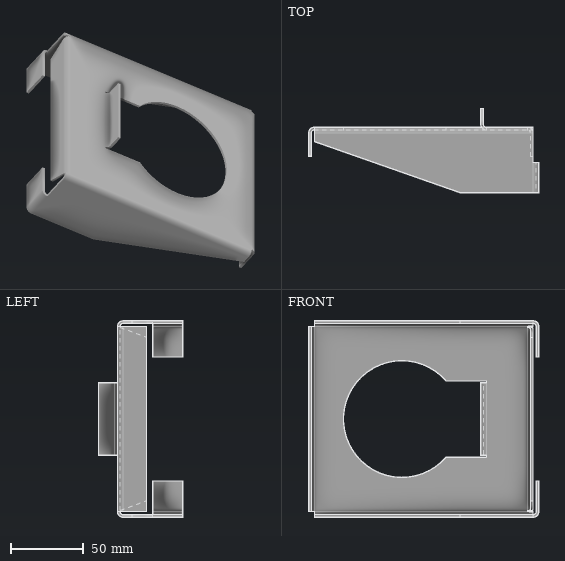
import cadquery as cq
import math

length = 158.0
height = 135.0
depth = 45.0

sheet = 1.9
inner_radius = 2.0
bend = inner_radius + sheet

flange_depth = 20.0
taper_inset = 7.5

wall_start_depth = 10.0
slope_end_x = 104.0
wall_tab_width = 20.9
wall_tab_height = 25.0

hole_x = 64.0
hole_radius = 40.0
slot_end_x = 122.0
slot_height = 52.1
back_tab_height = 50.0
back_tab_reach = 13.0

wall_end_x = length - bend
right_bend_x = wall_end_x - bend
plate_height = height - 2 * bend
middle_z = height / 2


def folded_strip(origin, outward, fold, reach, width):
    """Bend and leg of a fold, centred on origin.

    origin lies on the outer side of the parent sheet where the bend starts, outward
    leads away from the parent, and reach is measured from origin along fold.
    """
    axis = cq.Vector(*outward).cross(cq.Vector(*fold))
    diagonal = math.sqrt(0.5)
    outer_middle = (bend * diagonal, bend * (1 - diagonal))
    inner_middle = (inner_radius * diagonal, bend - inner_radius * diagonal)
    return (
        cq.Workplane(cq.Plane(origin, outward, axis))
        .threePointArc(outer_middle, (bend, bend))
        .lineTo(bend, reach)
        .lineTo(inner_radius, reach)
        .lineTo(inner_radius, bend)
        .threePointArc(inner_middle, (0, sheet))
        .close()
        .extrude(width / 2, both=True)
    )


def back_plate():
    plate = cq.Workplane("XY").box(
        right_bend_x - bend, sheet, plate_height, centered=False
    ).translate((bend, -sheet, bend))
    opening = (
        cq.Workplane("XZ")
        .center(hole_x, middle_z)
        .circle(hole_radius)
        .extrude(sheet)
    )
    slot = cq.Workplane("XY").box(
        slot_end_x - hole_x, sheet, slot_height, centered=False
    ).translate((hole_x, -sheet, middle_z - slot_height / 2))
    return plate.cut(opening).cut(slot)


def left_flange():
    return folded_strip((bend, 0, middle_z), (-1, 0, 0), (0, -1, 0), flange_depth, plate_height)


def right_flange():
    flange = folded_strip(
        (right_bend_x, 0, middle_z), (1, 0, 0), (0, -1, 0), flange_depth, plate_height
    )
    tapered = (
        cq.Workplane("YZ")
        .polyline([
            (0, bend),
            (0, height - bend),
            (-flange_depth, height - bend - taper_inset),
            (-flange_depth, bend + taper_inset),
        ])
        .close()
        .extrude(length)
    )
    return flange.intersect(tapered)


def lower_side():
    wall = folded_strip(
        ((bend + wall_end_x) / 2, 0, bend), (0, 0, -1), (0, -1, 0), depth, wall_end_x - bend
    )
    slope = (
        cq.Workplane("XY")
        .polyline([(bend, -wall_start_depth), (slope_end_x, -depth), (bend, -depth)])
        .close()
        .extrude(bend)
    )
    tab = folded_strip(
        (wall_end_x, wall_tab_width / 2 - depth, 0),
        (1, 0, 0),
        (0, 0, 1),
        wall_tab_height,
        wall_tab_width,
    )
    return wall.cut(slope).union(tab)


def back_tab():
    return folded_strip(
        (slot_end_x, -sheet, middle_z),
        (-1, 0, 0),
        (0, 1, 0),
        back_tab_reach + sheet,
        back_tab_height,
    )


side = lower_side()
mirrored_side = side.mirror("XY", (0, 0, middle_z))

result = back_plate()
for fold_piece in (left_flange(), right_flange(), side, mirrored_side, back_tab()):
    result = result.union(fold_piece)